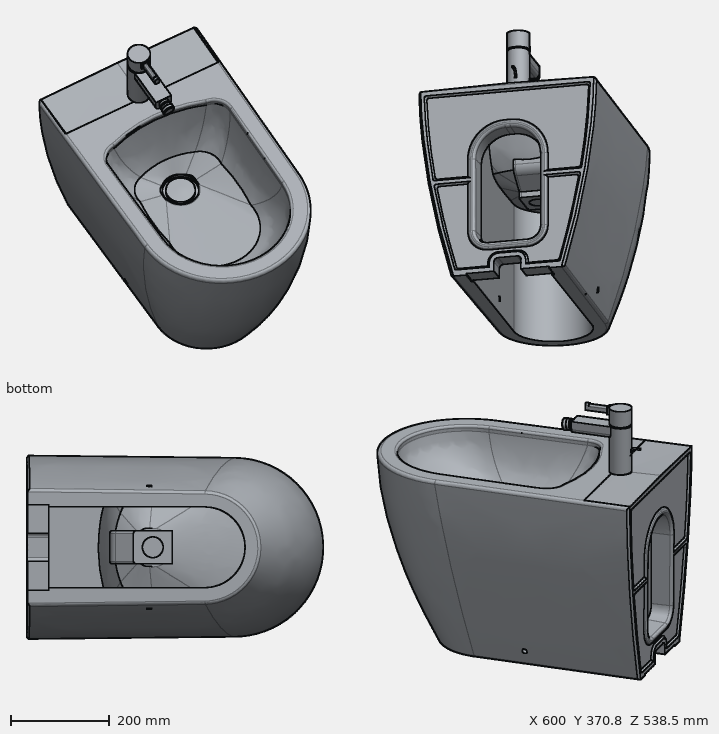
import cadquery as cq
import math

length = 600.0
deck_height = 400.0
width = 371.0
seam_narrowing = 4.5
seam_x_top = 422.0
seam_x_bottom = 360.0
front_draw_in = 129.0
side_draw_in = 68.0
lean_power = 1.75
back_lean = 2.0
rim_fillet = 7.0
edge_chamfer = 5.0
floor_fillet = 7.0
loft_steps = 6

cavity_half_width = 81.5
back_wall = 45.0
cavity_height = 360.0
bowl_wall = 13.0

crown_length = 99.5
crown_rise = 2.7
crown_end_rise = 0.1
crown_half_width = 179.0

bowl_lip_fillet = 5.5
bowl_lip_depth = 12.5
floor_edge_height = 294.0

bowl_rim = dict(
    back=147.0, corner=(167.0, 110.5), side=(210.5, 146.5), seam=(422.0, 144.0), front=564.5, bulge=0.3
)
bowl_waist = dict(
    back=165.5, corner=(182.5, 95.0), side=(225.0, 129.5), seam=(411.0, 128.5), front=543.0, bulge=1.0
)
bowl_floor_edge = dict(
    back=190.0, corner=(203.0, 63.0), side=(254.0, 95.0), seam=(374.0, 95.0), front=481.0, bulge=4.0
)

drain_x = 255.0
drain_height = 270.0
drain_mouth_diameter = 78.0

well_diameter = 74.5
well_depth = 7.0
plug_diameter = 60.0
plug_stem_diameter = 42.0
plug_edge = 6.0
plug_rise = 4.0
duct_half_width = 33.5
duct_bottom = 233.5
duct_edge = 5.5
duct_lip = 12.0
duct_lean = 48.0
duct_rise = 30.0
duct_bend = 24.0

opening_half_width = 65.5
opening_bottom = 69.5
opening_top = 307.5
arch_radius = 60.0
opening_corner = 24.5
opening_round = 6.0
opening_draft = 3.5
frame_margin = 14.5

panel_depth = 4.0
panel_border = 12.0
upper_panel_top = 390.5
rib_top = 207.5
rib_bottom = 200.0
lower_panel_bottom = 12.5
panel_corner = 7.0

notch_half_width = 28.0
notch_height = 31.0
notch_corner = 8.5
notch_margin = 9.5
relief_half_width = 86.5
relief_height = 3.0

fixing_x = 248.0
fixing_z = 32.5
fixing_diameter = 10.0

tap_x = 87.0
tap_diameter = 46.0
tap_neck_diameter = 44.0
column_top = 500.0
neck_height = 2.5
cap_top = 537.5
spout_end = 186.5
spout_width = 36.0
spout_bottom = 475.0
spout_round = 8.5
lever_end = 161.5
lever_width = 9.5
lever_bottom = 523.5
lever_top = 537.0
lever_round = 3.5
lever_foot_end = 113.5
lever_foot_width = 17.0
lever_foot_drop = 2.0
lever_tip_length = 8.0
lever_tip_top = 538.5

collar_diameter = 21.5
collar_length = 6.0
nozzle_tilt = 7.0
nozzle_diameter = 25.0
nozzle_neck_diameter = 20.5
nozzle_ring_diameter = 23.5
nozzle_length = 17.0
nozzle_neck_length = 2.0
nozzle_ring_length = 6.0
nozzle_edge = 2.0

rod_diameter = 4.0
rod_start_x = 44.5
rod_bend_x = 54.0
rod_z = 453.0
rod_end_x = 65.0
rod_end_z = 436.5

selector_gap = 0.5
through = 12.0


def lean(z):
    """Share of the draw-in reached at height z: 0 just below the rim fillet, about 1 at the floor."""

    def share(depth):
        return (depth / deck_height) ** lean_power

    return share(deck_height - z) - share(rim_fillet)


def side_half_width(z):
    return width / 2 - side_draw_in * lean(z)


def body_section(z):
    """Plan section of the body: slightly tapered sides closed by a round front."""
    depth_share = (deck_height - z) / deck_height
    seam_x = seam_x_top + (seam_x_bottom - seam_x_top) * depth_share
    half_back = side_half_width(z)
    half_seam = half_back - seam_narrowing
    tip = length - front_draw_in * lean(z)
    return (
        cq.Workplane("XY", origin=(0, 0, z))
        .moveTo(back_lean * depth_share, -half_back)
        .lineTo(seam_x, -half_seam)
        .threePointArc((tip, 0), (seam_x, half_seam))
        .lineTo(back_lean * depth_share, half_back)
        .close()
        .val()
    )


def body_loft():
    heights = [deck_height * step / loft_steps for step in range(loft_steps + 1)]
    return cq.Workplane(cq.Solid.makeLoft([body_section(z) for z in heights]))


def make_crown():
    def roof(x, rise):
        return cq.Wire.makePolygon(
            [
                cq.Vector(x, -crown_half_width, deck_height),
                cq.Vector(x, 0, deck_height + rise),
                cq.Vector(x, crown_half_width, deck_height),
            ],
            close=True,
        )

    return cq.Workplane(
        cq.Solid.makeLoft([roof(0, crown_rise), roof(crown_length, crown_end_rise)], True)
    )


def bowl_section(z, offset, back, corner, side, seam, front, bulge):
    """Egg-shaped ring: hollowed back, rounded rear corners, long sides and a round front, grown by offset."""
    back -= offset
    corner = (corner[0] - offset, corner[1] + offset / 2)
    side = (side[0], side[1] + offset)
    seam = (seam[0], seam[1] + offset)
    front += offset
    share = math.sqrt(0.5)
    bend = (
        side[0] - (side[0] - corner[0]) * share,
        corner[1] + (side[1] - corner[1]) * share,
    )
    middle = ((side[0] + seam[0]) / 2, (side[1] + seam[1]) / 2 + bulge)

    def mirrored(point):
        return (point[0], -point[1])

    return (
        cq.Workplane("XY", origin=(0, 0, z))
        .moveTo(*mirrored(corner))
        .threePointArc((back, 0), corner)
        .threePointArc(bend, side)
        .threePointArc(middle, seam)
        .threePointArc((front, 0), mirrored(seam))
        .threePointArc(mirrored(middle), mirrored(side))
        .threePointArc(mirrored(bend), mirrored(corner))
        .close()
        .val()
    )


def drain_mouth(z):
    """Round ring at the drain, split into the same arcs as the bowl's rings."""
    radius = drain_mouth_diameter / 2

    def on_circle(angle):
        turn = math.radians(angle)
        return (drain_x + radius * math.cos(turn), radius * math.sin(turn))

    side = on_circle(100)
    return bowl_section(
        z,
        offset=0,
        back=drain_x - radius,
        corner=on_circle(135),
        side=side,
        seam=on_circle(80),
        front=drain_x + radius,
        bulge=radius - side[1],
    )


def bowl_solid(offset=0.0):
    """The bowl's hollow, or with an offset the body that its wall fills."""
    floor_z = floor_edge_height - offset
    waist_z = (floor_edge_height + deck_height) / 2 - offset
    lip_z = deck_height - bowl_lip_depth
    rim_offset = offset - bowl_lip_fillet
    lip_ring = bowl_section(lip_z, rim_offset, **bowl_rim)
    floor_ring = bowl_section(floor_z, offset, **bowl_floor_edge)

    lip = cq.Solid.makeLoft([bowl_section(deck_height, rim_offset, **bowl_rim), lip_ring], True)
    walls = cq.Solid.makeLoft([lip_ring, bowl_section(waist_z, offset, **bowl_waist), floor_ring])
    dish = cq.Solid.makeLoft([floor_ring, drain_mouth(drain_height - offset)], True)
    return cq.Workplane(walls).union(cq.Workplane(lip)).union(cq.Workplane(dish))


def make_duct():
    """Drain duct under the bowl, with a rounded rear face above a short straight lip."""
    half_length = drain_mouth_diameter / 2
    back = drain_x - half_length
    top = floor_edge_height + through
    return (
        cq.Workplane("XZ")
        .moveTo(back, duct_bottom)
        .lineTo(back, duct_bottom + duct_lip)
        .lineTo(back - duct_lean, duct_bottom + duct_lip + duct_rise)
        .lineTo(back - duct_lean, top)
        .lineTo(drain_x + half_length, top)
        .lineTo(drain_x + half_length, duct_bottom)
        .close()
        .extrude(duct_half_width, both=True)
        .edges(cq.selectors.NearestToPointSelector((back - duct_lean, 0, duct_bottom + duct_lip + duct_rise)))
        .fillet(duct_bend)
        .edges(cq.selectors.BoxSelector((back - duct_lean - 6, -width, 0), (back + 6, width, top - 6)))
        .edges("not |Y")
        .fillet(duct_edge)
    )


def rear_plane(depth=0.0):
    """Plane parallel to the leaning back face: local x along Y, local y up, normal into the body."""
    plane = cq.Plane((back_lean, 0, 0), xDir=(0, 1, 0), normal=(deck_height, 0, back_lean))
    return cq.Workplane(plane).workplane(offset=depth)


def rounded_corner(sketch, centre, radius, start_angle):
    """Quarter arc turning left around centre, from start_angle in degrees."""
    middle, end = (math.radians(start_angle + turn) for turn in (45, 90))
    return sketch.threePointArc(
        (centre[0] + radius * math.cos(middle), centre[1] + radius * math.sin(middle)),
        (centre[0] + radius * math.cos(end), centre[1] + radius * math.sin(end)),
    )


def opening_wire(margin, depth):
    """Outline of the rear opening, grown by margin: arched top and smaller bottom corners."""
    half = opening_half_width + margin
    top = opening_top + margin
    bottom = opening_bottom - margin
    arch = arch_radius + margin
    corner = opening_corner + margin
    sketch = rear_plane(depth).moveTo(half - corner, bottom)
    sketch = rounded_corner(sketch, (half - corner, bottom + corner), corner, -90)
    sketch = sketch.lineTo(half, top - arch)
    sketch = rounded_corner(sketch, (half - arch, top - arch), arch, 0)
    sketch = sketch.lineTo(-half + arch, top)
    sketch = rounded_corner(sketch, (-half + arch, top - arch), arch, 90)
    sketch = sketch.lineTo(-half, bottom + corner)
    sketch = rounded_corner(sketch, (-half + corner, bottom + corner), corner, 180)
    return sketch.close().val()


def notch_wire(margin, depth):
    """Outline of the pipe notch, grown by margin and running out below the floor."""
    half = notch_half_width + margin
    top = notch_height + margin
    corner = notch_corner + margin
    sketch = rear_plane(depth).moveTo(-half, -through).lineTo(half, -through).lineTo(half, top - corner)
    sketch = rounded_corner(sketch, (half - corner, top - corner), corner, 0)
    sketch = sketch.lineTo(-half + corner, top)
    sketch = rounded_corner(sketch, (-half + corner, top - corner), corner, 90)
    return sketch.close().val()


def panel_wire(bottom, top, margin, depth):
    """Outline of a rear panel whose sides run parallel to the body's sides."""

    def edge(z):
        return side_half_width(z) - panel_border + margin

    low = bottom - margin
    high = top + margin
    middle = (bottom + top) / 2
    return (
        rear_plane(depth)
        .moveTo(-edge(low), low)
        .lineTo(edge(low), low)
        .threePointArc((edge(middle), middle), (edge(high), high))
        .lineTo(-edge(high), high)
        .threePointArc((-edge(middle), middle), (-edge(low), low))
        .close()
        .val()
    )


def make_rear_recesses():
    """Two shallow panels with sloping walls, split by a rib and by frames around opening and notch."""

    def sloped_panel(bottom, top):
        outer = panel_wire(bottom, top, panel_depth, -panel_depth)
        inner = panel_wire(bottom, top, -panel_depth, panel_depth)
        panel = cq.Workplane(cq.Solid.makeLoft([outer, inner], True))
        corners = [edge for edge in panel.edges().vals() if edge.BoundingBox().xlen > panel_depth]
        return panel.newObject(corners).fillet(panel_corner)

    def frame(wire_at, margin):
        outer = wire_at(margin - panel_depth, -panel_depth)
        inner = wire_at(margin + panel_depth, panel_depth)
        return cq.Workplane(cq.Solid.makeLoft([outer, inner], True))

    upper = sloped_panel(rib_top, upper_panel_top)
    lower = sloped_panel(lower_panel_bottom, rib_bottom)
    frames = [frame(opening_wire, frame_margin), frame(notch_wire, notch_margin)]
    return [panel.cut(frames[0]).cut(frames[1]) for panel in (upper, lower)]


def rear_tunnel(wire_at, growth=0.0):
    """Cutter from the back face into the cavity, wider by growth at the back face."""
    return cq.Workplane(
        cq.Solid.makeLoft([wire_at(growth, -through), wire_at(0, back_wall + through)], True)
    )


def shape_outside():
    """Body with bevelled back sides, rounded deck and floor edges, and the crown on its rear deck."""
    body = body_loft()
    body = body.faces("<X").edges("not(>Z or <Z)").chamfer(edge_chamfer)
    ahead_of_bevel = cq.selectors.BoxSelector((back_wall, -width, -6), (length + 6, width, deck_height + 6))
    body = body.faces(">Z").edges(ahead_of_bevel).fillet(rim_fillet)
    body = body.faces("<Z").edges(ahead_of_bevel).fillet(floor_fillet)
    return body.union(make_crown())


def make_cavity():
    """Upright hollow behind the back wall with a round front, open to the floor."""
    tip = seam_x_bottom + cavity_half_width
    return (
        cq.Workplane("XY")
        .moveTo(back_wall, -cavity_half_width)
        .lineTo(seam_x_bottom, -cavity_half_width)
        .threePointArc((tip, 0), (seam_x_bottom, cavity_half_width))
        .lineTo(back_wall, cavity_half_width)
        .close()
        .extrude(cavity_height)
    )


def make_drain_cutter():
    well = cq.Workplane("XY", origin=(drain_x, 0, drain_height - well_depth)).circle(well_diameter / 2)
    stem = cq.Workplane("XY", origin=(drain_x, 0, duct_bottom - through)).circle(plug_stem_diameter / 2)
    return well.extrude(well_depth + through).union(stem.extrude(drain_height - duct_bottom + through))


def make_ceramic():
    body = shape_outside()
    bowl_reach = bowl_rim["side"][1] + bowl_rim["bulge"]
    cavity = make_cavity().cut(bowl_solid(bowl_wall)).cut(make_duct())
    body = body.cut(cavity).cut(bowl_solid())
    lip_box = cq.selectors.BoxSelector(
        (crown_length + 6, -bowl_reach, deck_height - selector_gap),
        (length - through, bowl_reach, deck_height + selector_gap),
    )
    body = body.edges(lip_box).fillet(bowl_lip_fillet)
    for recess in make_rear_recesses():
        body = body.cut(recess)

    body = body.cut(rear_tunnel(opening_wire, opening_draft)).cut(rear_tunnel(notch_wire))
    mouth_reach = opening_half_width + 2 * opening_draft
    mouth_box = cq.selectors.BoxSelector(
        (-selector_gap, -mouth_reach, opening_bottom - 2 * opening_draft),
        (back_lean + selector_gap, mouth_reach, opening_top + 2 * opening_draft),
    )
    body = body.edges(mouth_box).fillet(opening_round)

    relief = cq.Workplane("XY").box(
        2 * back_wall, 2 * relief_half_width, 2 * relief_height
    )
    fixing = cq.Workplane("XZ", origin=(fixing_x, 0, fixing_z)).circle(fixing_diameter / 2)
    body = body.cut(relief).cut(fixing.extrude(length, both=True))

    tap_seat = cq.Workplane("XY", origin=(tap_x, 0, deck_height)).circle(tap_diameter / 2)
    return body.cut(make_drain_cutter()).cut(tap_seat.extrude(through))


def make_plug():
    """Drain plug: stem in the ceramic, and a wide head that ends in a low cone."""
    head_bottom = drain_height - well_depth
    return (
        cq.Workplane("XZ")
        .moveTo(0, duct_bottom)
        .lineTo(plug_stem_diameter / 2, duct_bottom)
        .lineTo(plug_stem_diameter / 2, head_bottom)
        .lineTo(plug_diameter / 2, head_bottom)
        .lineTo(plug_diameter / 2, head_bottom + plug_edge)
        .lineTo(0, head_bottom + plug_edge + plug_rise)
        .close()
        .revolve(360, (0, 0, 0), (0, 1, 0))
        .translate((drain_x, 0, 0))
    )


def upright(diameter, bottom, top):
    """Vertical cylinder on the tap's axis."""
    return cq.Workplane("XY", origin=(tap_x, 0, bottom)).circle(diameter / 2).extrude(top - bottom)


def make_rod():
    """Bent pull rod that runs into the back of the column."""
    path = (
        cq.Workplane("XZ")
        .moveTo(rod_start_x, rod_z)
        .lineTo(rod_bend_x, rod_z)
        .tangentArcPoint((rod_end_x, rod_end_z), relative=False)
    )
    return cq.Workplane("YZ", origin=(rod_start_x, 0, rod_z)).circle(rod_diameter / 2).sweep(path)


def make_column(rod):
    """Column and spout in one piece, with a hole for the rod."""
    spout = (
        cq.Workplane("XY", origin=(tap_x, 0, spout_bottom))
        .rect(2 * (spout_end - tap_x), spout_width)
        .extrude(column_top - spout_bottom)
        .edges("|X and <Z")
        .fillet(spout_round)
        .intersect(cq.Workplane("XY", origin=(tap_x + length / 2, 0, 0)).box(length, length, 2 * length))
    )
    return upright(tap_diameter, deck_height, column_top).union(spout).cut(rod)


def make_cap():
    neck = upright(tap_neck_diameter, column_top, column_top + neck_height)
    return neck.union(upright(tap_diameter, column_top + neck_height, cap_top))


def make_lever():
    """Bar with rounded top edges, a deeper foot at the cap and a raised tip."""

    def block(start, end, bottom, top, block_width=lever_width):
        return cq.Workplane("XY").box(
            end - start, block_width, top - bottom, centered=(False, True, False)
        ).translate((start, 0, bottom))

    bar = block(tap_x, lever_end, lever_bottom, lever_top)
    foot = block(tap_x, lever_foot_end, lever_bottom - lever_foot_drop, cap_top, lever_foot_width)
    tip = block(lever_end - lever_tip_length, lever_end, lever_bottom, lever_tip_top)
    bar = bar.edges("|X and >Z").fillet(lever_round)
    tip = tip.edges("|X and >Z").fillet(lever_round)
    return bar.union(tip).union(foot).cut(upright(tap_diameter, column_top, lever_tip_top))


def make_collar():
    middle = (column_top + spout_bottom) / 2
    return (
        cq.Workplane("YZ", origin=(spout_end, 0, middle)).circle(collar_diameter / 2).extrude(collar_length)
    )


def make_nozzle(collar):
    """Tilted nozzle: neck, ring and mouth along one axis that starts inside the collar."""
    start = (spout_end + collar_length / 2, 0, (column_top + spout_bottom) / 2)
    tilt = math.radians(nozzle_tilt)
    plane = cq.Plane(start, xDir=(0, 1, 0), normal=(math.cos(tilt), 0, -math.sin(tilt)))
    ring_start = collar_length / 2 + nozzle_neck_length
    mouth_start = ring_start + nozzle_ring_length
    nozzle_end = nozzle_length + collar_length / 2

    def disc(diameter, start_at, end_at):
        return cq.Workplane(plane).workplane(offset=start_at).circle(diameter / 2).extrude(end_at - start_at)

    neck = disc(nozzle_neck_diameter, 0, mouth_start)
    ring = disc(nozzle_ring_diameter, ring_start, mouth_start)
    mouth = disc(nozzle_diameter, mouth_start, nozzle_end).faces(">X").chamfer(nozzle_edge)
    return neck.union(ring).union(mouth).cut(collar)


ceramic = make_ceramic()
plug = make_plug()
rod = make_rod()
column = make_column(rod)
cap = make_cap()
lever = make_lever()
collar = make_collar()
nozzle = make_nozzle(collar)

bodies = [ceramic, plug, column, cap, lever, collar, nozzle, rod]
result = cq.Compound.makeCompound([body.val() for body in bodies])